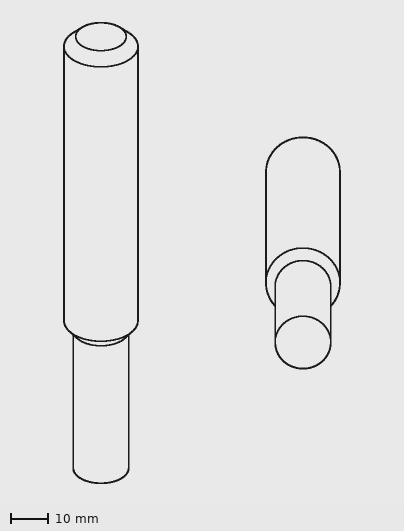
import cadquery as cq

total_length = 142.0
shank_radius = 20.0 / 2
pin_radius = 7.5
bevel_height = 3.1
bevel_top_radius = 6.8
tip_height = 2.3
pin_length = 46.9
shoulder_height = 3.1

top_z = total_length / 2
tip_z = -total_length / 2
bevel_base_z = top_z - bevel_height
shank_base_z = tip_z + pin_length
shoulder_top_z = shank_base_z + shoulder_height


def revolve_about_z(profile):
    """Turn a closed XZ profile a full revolution about the Z axis."""
    return profile.revolve(360, (0, 0, 0), (0, 1, 0))


def make_shank():
    """Thick cylinder with a conical bevel on top and a conical shoulder below."""
    profile = (
        cq.Workplane("XZ")
        .moveTo(0, shank_base_z)
        .lineTo(pin_radius, shank_base_z)
        .lineTo(shank_radius, shoulder_top_z)
        .lineTo(shank_radius, bevel_base_z)
        .lineTo(bevel_top_radius, top_z)
        .lineTo(0, top_z)
        .close()
    )
    return revolve_about_z(profile)


def make_pin():
    """Thin cylinder with a blunt conical point, butting against the shank."""
    profile = (
        cq.Workplane("XZ")
        .moveTo(0, tip_z)
        .lineTo(pin_radius, tip_z + tip_height)
        .lineTo(pin_radius, shank_base_z)
        .lineTo(0, shank_base_z)
        .close()
    )
    return revolve_about_z(profile)


shank = make_shank()
pin = make_pin()

result = cq.Compound.makeCompound([shank.val(), pin.val()])